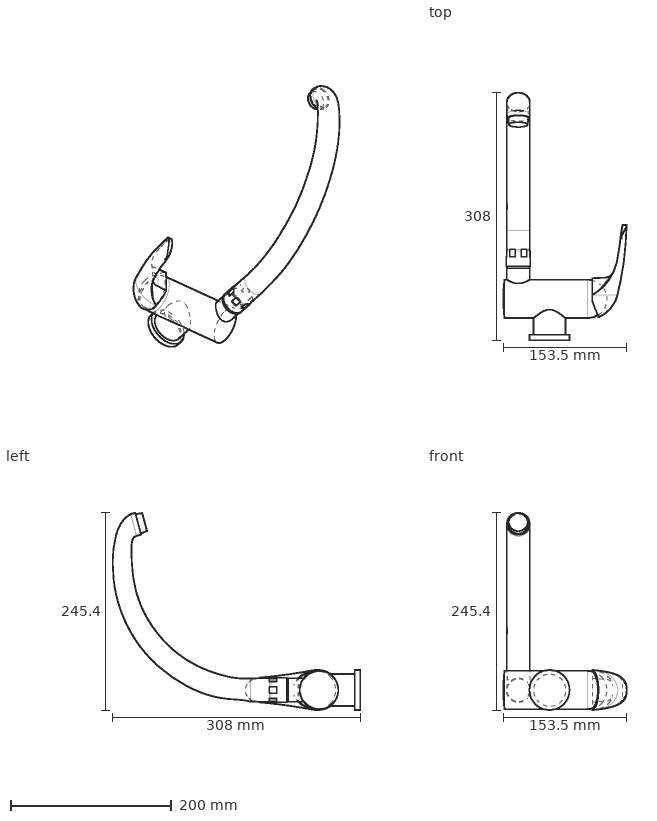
import cadquery as cq
import math

body_radius = 24.0
body_left = -56.0
body_right = 47.0
left_dome_height = 1.5

outlet_radius = 20.0
flange_radius = 25.0
flange_thickness = 7.0
flange_face_y = -51.5

spout_x = -38.8
spout_radius = 14.5
neck_end_y = 38.2
groove_radius = 14.2
collar_start_y = 40.3
collar_end_y = 62.0
collar_radius = 15.0
collar_chamfer_length = 2.2

window_count = 6
window_width = 7.7
window_start_y = 52.5
window_floor_radius = 14.2

bend_start_y = 85.3
bend_radius = 159.2
bend_angle = 90
bend_step = 15
bend_end_thickness_radius = 12.0

elbow_center = (239.5, 195.8)
elbow_tilt = 42
head_center = (230.5, 205.0)
head_tilt = 15
head_radius = 14.2
head_length = 6.2
nozzle_base_radius = 12.5
nozzle_tip_radius = 11.7
nozzle_length = 8.3

lever_face_x = 53.0
lever_face_break_y = -2.5
lever_lip = (61.0, -22.8)
lever_hub_half_width = 24.3
lever_hub_top_y = 26.0
lever_hub_ridge_y = 32.3
lever_flare_start = (66.2, 26.5)
lever_flare_middle = (74.8, 28.3)
lever_flare_end = (81.0, 36.0)
lever_hub_back_x = 80
lever_tip_y = 92.0
lever_tip_round_start_y = 74.5
lever_tip_half_width = 14.8

lever_hub_length = 27.0
cut_margin = 3
lever_arc_steps = 8

bowl_stations = [
    (-22.8, lever_face_x, 61.3, 10.8),
    (-13.0, lever_face_x, 75.0, 21.2),
    (5.0, lever_face_x, 84.7, 25.0),
]
blade_stations = [
    bowl_stations[-1],
    (17.5, 69.0, 87.5, 22.8),
    (35.0, 80.0, 90.8, 20.0),
    (61.5, 86.5, 94.2, 16.5),
    (lever_tip_y, 90.8, 96.0, 14.2),
]


def cylinder_along_y(x, start_y, end_y, radius):
    return cq.Workplane("XZ", origin=(x, start_y, 0)).circle(radius).extrude(start_y - end_y)


def make_body_barrel():
    left_dome_middle = (body_left - left_dome_height * 0.75, body_radius / 2)
    diagonal = body_radius * math.sqrt(0.5)
    return (
        cq.Workplane("XY")
        .moveTo(body_left - left_dome_height, 0)
        .threePointArc(left_dome_middle, (body_left, body_radius))
        .lineTo(body_right, body_radius)
        .threePointArc((body_right + diagonal, diagonal), (body_right + body_radius, 0))
        .close()
        .revolve(360, (0, 0, 0), (1, 0, 0))
    )


def make_outlet():
    flange_back_y = flange_face_y + flange_thickness
    pipe = cylinder_along_y(0, flange_back_y, 0, outlet_radius)
    flange = cylinder_along_y(0, flange_face_y, flange_back_y, flange_radius)
    return pipe.union(flange)


def make_spout_base():
    """Neck, groove, chamfered collar and straight tube, revolved about the spout axis."""
    outline = [
        (0, 0),
        (spout_radius, 0),
        (spout_radius, neck_end_y),
        (groove_radius, neck_end_y),
        (groove_radius, collar_start_y),
        (collar_radius, collar_start_y),
        (collar_radius, collar_end_y - collar_chamfer_length),
        (spout_radius, collar_end_y),
        (spout_radius, bend_start_y),
        (0, bend_start_y),
    ]
    base = cq.Workplane("XY").polyline(outline).close().revolve(360, (0, 0, 0), (0, 1, 0))
    window = (
        cq.Workplane("XY")
        .box(collar_radius, collar_end_y - window_start_y, window_width, centered=(False, False, True))
        .translate((window_floor_radius, window_start_y, 0))
    )
    for index in range(window_count):
        base = base.cut(window.rotate((0, 0, 0), (0, 1, 0), index * 360 / window_count))
    return base.translate((spout_x, 0, 0))


def direction_above_minus_y(tilt):
    return cq.Vector(0, -math.cos(math.radians(tilt)), math.sin(math.radians(tilt)))


def tube_section(center_yz, direction, half_width, half_thickness):
    center = cq.Vector(spout_x, *center_yz)
    return cq.Wire.makeEllipse(half_width, half_thickness, center, direction, cq.Vector(1, 0, 0))


def make_spout_arc():
    """Large quarter bend and tight elbow, lofted through oval sections."""
    sections = []
    for angle in range(0, bend_angle + 1, bend_step):
        turn = math.radians(angle)
        center = (bend_start_y + bend_radius * math.sin(turn), bend_radius * (1 - math.cos(turn)))
        direction = cq.Vector(0, math.cos(turn), math.sin(turn))
        flattening = (spout_radius - bend_end_thickness_radius) * (angle / bend_angle) ** 2
        sections.append(tube_section(center, direction, spout_radius, spout_radius - flattening))
    elbow_direction = direction_above_minus_y(elbow_tilt)
    sections.append(tube_section(elbow_center, elbow_direction, spout_radius, bend_end_thickness_radius))
    sections.append(tube_section(head_center, direction_above_minus_y(head_tilt), head_radius, head_radius))
    return cq.Workplane(cq.Solid.makeLoft(sections))


def make_nozzle():
    head_plane = cq.Plane(
        origin=(spout_x, *head_center), xDir=(1, 0, 0), normal=direction_above_minus_y(head_tilt)
    )
    profile = [
        (0, 0),
        (head_radius, 0),
        (head_radius, head_length),
        (nozzle_base_radius, head_length),
        (nozzle_tip_radius, head_length + nozzle_length),
        (0, head_length + nozzle_length),
    ]
    nozzle = cq.Workplane("XZ").polyline(profile).close().revolve(360, (0, 0, 0), (0, 1, 0))
    return cq.Workplane(nozzle.val().moved(cq.Location(head_plane)))


def make_housing():
    spout = make_spout_base().union(make_spout_arc()).union(make_nozzle())
    return make_body_barrel().union(make_outlet()).union(spout)


def lever_section(y, inner_x, outer_x, half_width):
    """Half ellipse with its flat side towards the body and its bulge outwards."""
    rim_points = []
    for step in range(lever_arc_steps + 1):
        angle = math.pi * (step / lever_arc_steps - 0.5)
        x = inner_x + (outer_x - inner_x) * math.cos(angle)
        rim_points.append(cq.Vector(x, y, half_width * math.sin(angle)))
    bulge = cq.Edge.makeSpline(rim_points)
    return cq.Wire.assembleEdges([bulge, cq.Edge.makeLine(rim_points[-1], rim_points[0])])


def loft_lever(stations):
    return cq.Workplane(cq.Solid.makeLoft([lever_section(*station) for station in stations]))


def make_tip_corners():
    """The two corners outside the rounded tip of the blade."""
    round_length = lever_tip_y - lever_tip_round_start_y
    shoulder = math.sqrt(0.5)
    corner = (
        cq.Workplane("YZ")
        .moveTo(lever_tip_round_start_y, lever_tip_half_width)
        .threePointArc(
            (lever_tip_round_start_y + round_length * shoulder, lever_tip_half_width * shoulder),
            (lever_tip_y, 0),
        )
        .lineTo(lever_tip_y + cut_margin, 0)
        .lineTo(lever_tip_y + cut_margin, lever_hub_half_width)
        .lineTo(lever_tip_round_start_y, lever_hub_half_width)
        .close()
        .extrude(2 * lever_tip_y)
    )
    return corner.union(corner.mirror("XY"))


def make_lever_blade():
    return loft_lever(blade_stations).cut(make_tip_corners())


def make_lever_hub():
    """Hub between the flat face and the blade, flaring into the blade at its top."""
    side = (
        cq.Workplane("XY")
        .moveTo(lever_face_x, lever_face_break_y)
        .lineTo(lever_face_x, lever_hub_top_y)
        .lineTo(*lever_flare_start)
        .threePointArc(lever_flare_middle, lever_flare_end)
        .lineTo(lever_hub_back_x, lever_face_break_y)
        .close()
        .extrude(lever_hub_half_width, both=True)
    )
    end_oval = cq.Workplane("YZ").ellipse(lever_hub_ridge_y, lever_hub_half_width).extrude(2 * lever_face_x)
    plan_oval = (
        cq.Workplane("XZ", origin=(lever_face_x, 0, 0))
        .ellipse(lever_hub_length, lever_hub_half_width)
        .extrude(2 * lever_hub_ridge_y, both=True)
    )
    return side.intersect(end_oval).intersect(plan_oval)


def make_face_trim():
    """Region on the body side of the lever's flat and leaning faces."""
    below_y = -(body_radius + cut_margin)
    return (
        cq.Workplane("XY")
        .moveTo(lever_face_x, lever_hub_top_y)
        .lineTo(lever_face_x, lever_face_break_y)
        .lineTo(*lever_lip)
        .lineTo(lever_lip[0], below_y)
        .lineTo(body_right, below_y)
        .lineTo(body_right, lever_hub_top_y)
        .close()
        .extrude(2 * lever_hub_half_width, both=True)
    )


def make_lever():
    """Bowl, blade and hub in one piece, hollowed to sit on the ball end of the body."""
    handle = loft_lever(bowl_stations).union(make_lever_blade()).union(make_lever_hub())
    return handle.cut(make_face_trim()).cut(make_body_barrel())


housing = make_housing()
lever = make_lever()
result = cq.Compound.makeCompound([housing.solids().val(), lever.solids().val()])